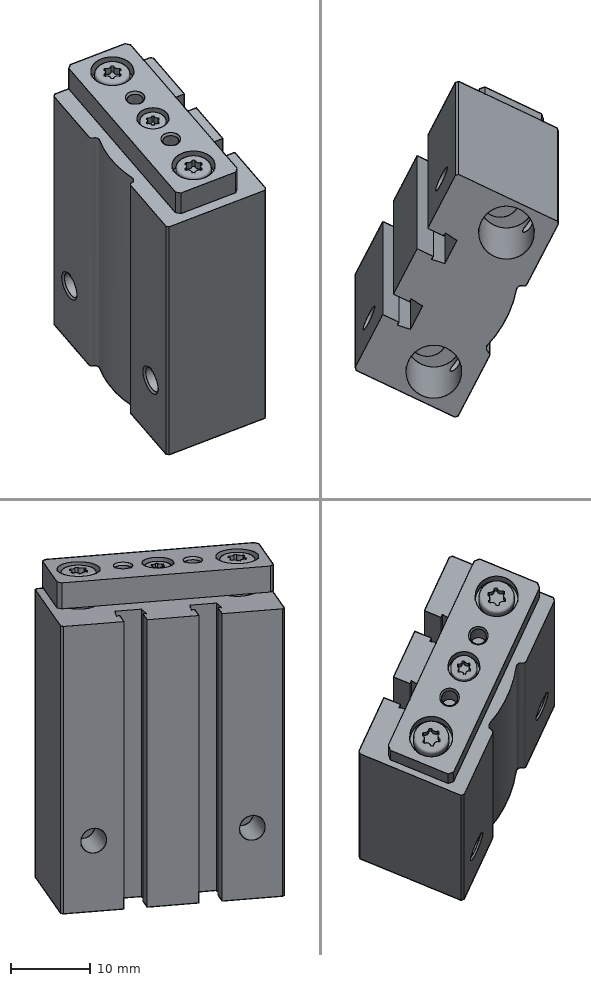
import cadquery as cq
import math

HOUSING_WIDTH = 29.0
HOUSING_DEPTH = 14.5
HOUSING_HEIGHT = 38.53
HOUSING_CHAMFER = 0.3
FRONT_Y = -HOUSING_DEPTH / 2
BACK_Y = HOUSING_DEPTH / 2

GUIDE_X = 10.28
GUIDE_Y = -1.0

MOUNT_HOLE_DIAMETER = 3.3
MOUNT_MOUTH_DIAMETER = 3.83
MOUNT_HOLE_Z = 9.5

CHAMBER_DIAMETER = 7.0
CHAMBER_HEIGHT = 12.9
CHAMBER_Y = -1.9

SLOT_X = 4.85
SLOT_NECK_WIDTH = 3.0
SLOT_NECK_DEPTH = 2.3
SLOT_INNER_WIDTH = 3.9
SLOT_FLOOR_WIDTH = 3.4
SLOT_DEPTH = 4.0

RECESS_MOUTH_WIDTH = 9.98
RECESS_FLOOR_WIDTH = 9.37
RECESS_CROWN_DEPTH = 0.3
RECESS_SIDE_DEPTH = 1.05
RECESS_INNER_RADIUS = 0.6
RECESS_MOUTH_RADIUS = 0.45

TOTAL_HEIGHT = 43.0
PLATE_THICKNESS = 3.5
PLATE_WIDTH = 28.05
PLATE_DEPTH = 9.0
PLATE_CHAMFER = 0.5
PLATE_BOTTOM_Z = TOTAL_HEIGHT - PLATE_THICKNESS
PLATE_THREAD_X = 4.5
PLATE_THREAD_DIAMETER = 2.0
PLATE_THREAD_MOUTH = 2.45
PLATE_THREAD_MOUTH_DEPTH = 0.35

GUIDE_ROD_LENGTH = PLATE_BOTTOM_Z - CHAMBER_HEIGHT
PISTON_ROD_LENGTH = PLATE_BOTTOM_Z - HOUSING_HEIGHT
GUIDE_ROD_DIAMETER = 5.0
GUIDE_ROD_CHAMFER = 0.35
PISTON_ROD_DIAMETER = 3.0

SEAT_DEPTH = 1.7
STAR_DEPTH = 1.05
GUIDE_SEAT_DIAMETER = 5.4
GUIDE_HEAD_DIAMETER = 4.47
GUIDE_HEAD_RECESS = 0.17
GUIDE_HEAD_ROUND = 0.35
GUIDE_STAR_SIZE = 2.35
PISTON_SEAT_DIAMETER = 4.0
PISTON_HEAD_DIAMETER = 3.3
PISTON_HEAD_RECESS = 0.4
PISTON_HEAD_ROUND = 0.1
PISTON_STAR_SIZE = 1.75
STAR_LOBES = 6
STAR_ROOT_RATIO = 0.74
STAR_SHOULDER_RATIO = 0.96
STAR_SHOULDER_ANGLE = 9


def cylinder(x, y, z, diameter, height):
    """Upright cylinder standing on height z."""
    return cq.Workplane("XY", origin=(x, y, z)).circle(diameter / 2).extrude(height)


def sensor_slot(x):
    """Undercut slot running the full housing height, tapering towards its floor."""
    neck = SLOT_NECK_WIDTH / 2
    inner = SLOT_INNER_WIDTH / 2
    floor = SLOT_FLOOR_WIDTH / 2
    shoulder_y = -SLOT_NECK_DEPTH
    return (
        cq.Workplane("XY", origin=(x, BACK_Y, 0))
        .polyline([
            (-neck, 0), (-neck, shoulder_y), (-inner, shoulder_y), (-floor, -SLOT_DEPTH),
            (floor, -SLOT_DEPTH), (inner, shoulder_y), (neck, shoulder_y), (neck, 0),
        ])
        .close()
        .extrude(HOUSING_HEIGHT)
    )


def front_recess():
    """Shallow channel whose floor bulges outwards, with rounded inner corners."""
    mouth = RECESS_MOUTH_WIDTH / 2
    floor = RECESS_FLOOR_WIDTH / 2
    return (
        cq.Workplane("XY", origin=(0, FRONT_Y, 0))
        .moveTo(-mouth, 0)
        .lineTo(-floor, RECESS_SIDE_DEPTH)
        .threePointArc((0, RECESS_CROWN_DEPTH), (floor, RECESS_SIDE_DEPTH))
        .lineTo(mouth, 0)
        .close()
        .extrude(HOUSING_HEIGHT)
        .edges("|Z and >Y")
        .fillet(RECESS_INNER_RADIUS)
    )


def mounting_hole(x):
    """Through hole along Y with a countersunk mouth in the front face."""
    radius = MOUNT_HOLE_DIAMETER / 2
    mouth = MOUNT_MOUTH_DIAMETER / 2
    mouth_depth = mouth - radius
    return (
        cq.Workplane("XY")
        .polyline([
            (0, FRONT_Y), (mouth, FRONT_Y), (radius, FRONT_Y + mouth_depth), (radius, BACK_Y), (0, BACK_Y),
        ])
        .close()
        .revolve(360, (0, 0, 0), (0, 1, 0))
        .translate((x, 0, MOUNT_HOLE_Z))
    )


def guide_bore(x):
    """Upright bore that fits the guide rod, widening to a chamber at the bottom."""
    rod_fit = cylinder(x, GUIDE_Y, 0, GUIDE_ROD_DIAMETER, HOUSING_HEIGHT)
    chamber = cylinder(x, CHAMBER_Y, 0, CHAMBER_DIAMETER, CHAMBER_HEIGHT)
    return rod_fit.union(chamber)


def make_housing():
    block = (
        cq.Workplane("XY")
        .rect(HOUSING_WIDTH, HOUSING_DEPTH)
        .extrude(HOUSING_HEIGHT)
        .edges("|Z")
        .chamfer(HOUSING_CHAMFER)
        .cut(front_recess())
    )
    front_face = block.faces("<Y").edges("|Z")
    recess_edges = front_face.filter(lambda edge: abs(edge.Center().x) < RECESS_MOUTH_WIDTH / 2 + 0.05)
    block = recess_edges.fillet(RECESS_MOUTH_RADIUS)
    for side in (-1, 1):
        block = block.cut(sensor_slot(side * SLOT_X))
        block = block.cut(mounting_hole(side * GUIDE_X))
        block = block.cut(guide_bore(side * GUIDE_X))
    return block


def polar_point(radius, degrees):
    angle = math.radians(degrees)
    return (radius * math.cos(angle), radius * math.sin(angle))


def star_socket(x, head_top, size):
    """Six-lobed wrench socket: rounded lobes joined by hollow arcs."""
    tip = size / 2
    root = tip * STAR_ROOT_RATIO
    shoulder = tip * STAR_SHOULDER_RATIO
    pitch = 360 / STAR_LOBES
    first_lobe = 90
    star_bottom = head_top - STAR_DEPTH
    outline = cq.Workplane("XY", origin=(x, GUIDE_Y, star_bottom))
    outline = outline.moveTo(*polar_point(shoulder, first_lobe - STAR_SHOULDER_ANGLE))
    for lobe in range(STAR_LOBES):
        middle = first_lobe + lobe * pitch
        lobe_end = polar_point(shoulder, middle + STAR_SHOULDER_ANGLE)
        next_start = polar_point(shoulder, middle + pitch - STAR_SHOULDER_ANGLE)
        outline = outline.threePointArc(polar_point(tip, middle), lobe_end)
        outline = outline.threePointArc(polar_point(root, middle + pitch / 2), next_start)
    return outline.close().extrude(STAR_DEPTH)


def screw_head(x, head_top, diameter, rim_round):
    """Round head with a rounded rim, standing on the floor of its seat."""
    seat_z = TOTAL_HEIGHT - SEAT_DEPTH
    head = cylinder(x, GUIDE_Y, seat_z, diameter, head_top - seat_z)
    return head.faces(">Z").edges().fillet(rim_round)


def add_screw(plate, x, seat_diameter, head, socket):
    """Sink a seat into the plate, stand a screw head in it and cut the socket into the head."""
    seat = cylinder(x, GUIDE_Y, TOTAL_HEIGHT - SEAT_DEPTH, seat_diameter, SEAT_DEPTH)
    return plate.cut(seat).union(head).cut(socket)


def threaded_hole(x):
    """Hole through the plate with a countersunk mouth, as one revolved profile."""
    radius = PLATE_THREAD_DIAMETER / 2
    mouth = PLATE_THREAD_MOUTH / 2
    mouth_floor = TOTAL_HEIGHT - PLATE_THREAD_MOUTH_DEPTH
    return (
        cq.Workplane("XZ")
        .polyline([
            (0, PLATE_BOTTOM_Z), (radius, PLATE_BOTTOM_Z), (radius, mouth_floor),
            (mouth, TOTAL_HEIGHT), (0, TOTAL_HEIGHT),
        ])
        .close()
        .revolve(360, (0, 0, 0), (0, 1, 0))
        .translate((x, GUIDE_Y, 0))
    )


def make_slide():
    slide = (
        cq.Workplane("XY", origin=(0, GUIDE_Y, PLATE_BOTTOM_Z))
        .rect(PLATE_WIDTH, PLATE_DEPTH)
        .extrude(PLATE_THICKNESS)
        .edges("|Z")
        .chamfer(PLATE_CHAMFER)
    )
    slide = slide.union(cylinder(0, GUIDE_Y, HOUSING_HEIGHT, PISTON_ROD_DIAMETER, PISTON_ROD_LENGTH))
    piston_head_top = TOTAL_HEIGHT - PISTON_HEAD_RECESS
    piston_head = screw_head(0, piston_head_top, PISTON_HEAD_DIAMETER, PISTON_HEAD_ROUND)
    piston_socket = star_socket(0, piston_head_top, PISTON_STAR_SIZE)
    slide = add_screw(slide, 0, PISTON_SEAT_DIAMETER, piston_head, piston_socket)
    guide_head_top = TOTAL_HEIGHT - GUIDE_HEAD_RECESS
    for side in (-1, 1):
        x = side * GUIDE_X
        guide_rod = cylinder(x, GUIDE_Y, CHAMBER_HEIGHT, GUIDE_ROD_DIAMETER, GUIDE_ROD_LENGTH)
        slide = slide.union(guide_rod.faces(">Z").chamfer(GUIDE_ROD_CHAMFER))
        slide = slide.cut(threaded_hole(side * PLATE_THREAD_X))
        guide_head = screw_head(x, guide_head_top, GUIDE_HEAD_DIAMETER, GUIDE_HEAD_ROUND)
        guide_socket = star_socket(x, guide_head_top, GUIDE_STAR_SIZE)
        slide = add_screw(slide, x, GUIDE_SEAT_DIAMETER, guide_head, guide_socket)
    return slide


housing = make_housing()
slide = make_slide()
result = cq.Compound.makeCompound([housing.val(), slide.val()])